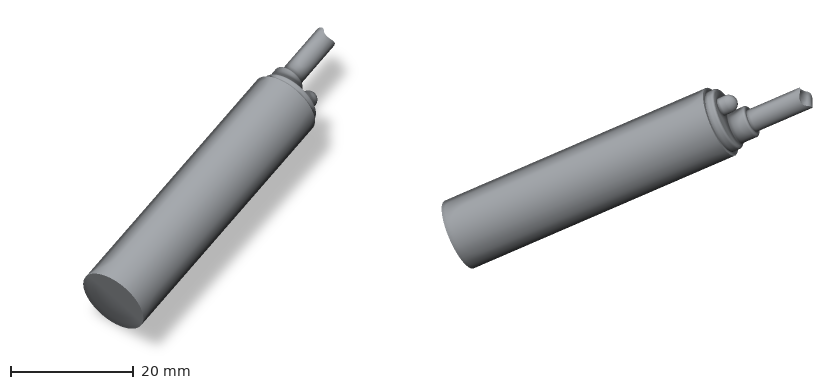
import cadquery as cq

BODY_DIAMETER = 12.0
BODY_LENGTH = 48.45
CAP_DIAMETER = 10.6
CAP_END = 50.0
CAP_FILLET = 0.4

CABLE_X = -2.3
CABLE_DIAMETER = 3.9
BOOT_DIAMETER = 5.45
BOOT_END = 53.1
BOOT_FILLET = 0.4
BOOT_ROOT_FILLET = 0.2

CABLE_END = 63.5
BREAK_EDGE = 63.05
BREAK_DIP = 62.5
BREAK_CROSSING = -0.25

LIGHT_X = 2.6
LIGHT_DIAMETER = 3.0
LIGHT_SEAM = 51.4


def cylinder(diameter, start, end, x=0):
    """Cylinder parallel to Y between two stations."""
    axis = cq.Vector(0, 1, 0)
    return cq.Workplane(cq.Solid.makeCylinder(diameter / 2, end - start, cq.Vector(x, start, 0), axis))


def make_housing():
    body = cylinder(BODY_DIAMETER, 0, BODY_LENGTH)
    cap = cylinder(CAP_DIAMETER, BODY_LENGTH, CAP_END).faces(">Y").edges().fillet(CAP_FILLET)
    return body.union(cap)


def make_boot():
    """Boot with a rounded end and a concave flare at its root."""
    radius = BOOT_DIAMETER / 2
    root = BOOT_ROOT_FILLET
    flare_middle = root * (1 - 0.5 ** 0.5)
    return (
        cq.Workplane("XY")
        .moveTo(0, BODY_LENGTH)
        .lineTo(radius + root, BODY_LENGTH)
        .lineTo(radius + root, CAP_END)
        .threePointArc((radius + flare_middle, CAP_END + flare_middle), (radius, CAP_END + root))
        .lineTo(radius, BOOT_END)
        .lineTo(0, BOOT_END)
        .close()
        .revolve(360, (0, 0, 0), (0, 1, 0))
        .faces(">Y").edges().fillet(BOOT_FILLET)
        .translate((CABLE_X, 0, 0))
    )


def make_cable():
    """Cable trimmed by a two-arc break profile that runs along Z."""
    radius = CABLE_DIAMETER / 2
    crest_x = (BREAK_CROSSING - radius) / 2
    dip_x = (BREAK_CROSSING + radius) / 2
    trim = (
        cq.Workplane("XY")
        .moveTo(-radius, CAP_END)
        .lineTo(-radius, BREAK_EDGE)
        .threePointArc((crest_x, CABLE_END), (BREAK_CROSSING, BREAK_EDGE))
        .threePointArc((dip_x, BREAK_DIP), (radius, BREAK_EDGE))
        .lineTo(radius, CAP_END)
        .close()
        .extrude(radius, both=True)
        .translate((CABLE_X, 0, 0))
    )
    return cylinder(CABLE_DIAMETER, CAP_END, CABLE_END, CABLE_X).intersect(trim)


def make_light():
    stem = cylinder(LIGHT_DIAMETER, BODY_LENGTH, LIGHT_SEAM, LIGHT_X)
    dome = cq.Workplane("XY").sphere(LIGHT_DIAMETER / 2).translate((LIGHT_X, LIGHT_SEAM, 0))
    return stem.union(dome)


result = make_housing().union(make_boot()).union(make_cable()).union(make_light())